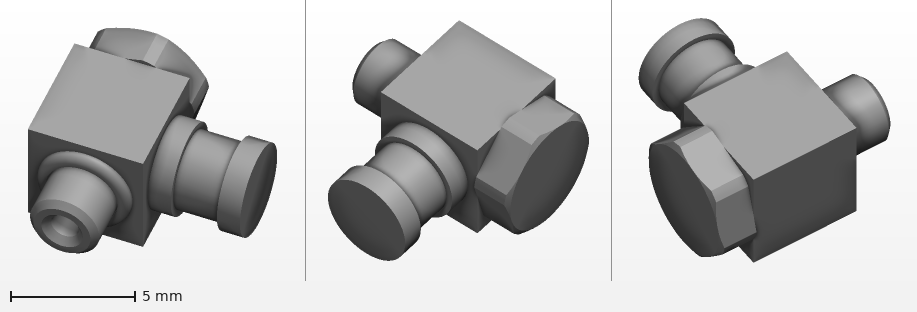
import cadquery as cq
import math

BODY_SIZE = 5.0
HALF_BODY = BODY_SIZE / 2

HEX_FLATS = 5.0
HEX_CORNER_DIAMETER = 5.5
HEX_LENGTH = 1.7
HEX_TILT = 15.0
HEX_CHAMFER_ANGLE = 30.0

STUD_DIAMETER = 3.0
STUD_LENGTH = 2.5
STUD_CHAMFER = 0.27

RING_HEIGHT = 0.4
LAND_RADIUS = 1.65
RING_BORE_RADIUS = 1.55

BORE_DIAMETER = 1.2
COUNTERSINK_DIAMETER = 1.8
COUNTERSINK_DEPTH = 0.3
BORE_DEPTH = STUD_LENGTH + HALF_BODY
DRILL_POINT_ANGLE = 118.0

COLLAR_DIAMETER = 4.0
COLLAR_LENGTH = 1.0
NECK_DIAMETER = 3.4
NECK_LENGTH = 2.0


def revolve_about_y(profile):
    """Turn a closed profile in the XY plane a full circle about the Y axis."""
    return profile.close().revolve(360, (0, 0, 0), (0, 1, 0))


def make_body():
    return cq.Workplane("XY").box(BODY_SIZE, BODY_SIZE, BODY_SIZE)


def make_hex_head():
    """Hexagon whose corners are turned down and whose free end is coned."""
    end_y = HALF_BODY + HEX_LENGTH
    corner_radius = HEX_CORNER_DIAMETER / 2
    end_radius = HEX_FLATS / 2
    cone_height = (corner_radius - end_radius) * math.tan(math.radians(HEX_CHAMFER_ANGLE))
    hexagon = (
        cq.Workplane("XZ", origin=(0, end_y, 0))
        .polygon(6, HEX_FLATS, circumscribed=True)
        .extrude(HEX_LENGTH)
        .rotate((0, 0, 0), (0, 1, 0), HEX_TILT)
    )
    turned_envelope = revolve_about_y(
        cq.Workplane("XY")
        .moveTo(0, HALF_BODY)
        .lineTo(corner_radius, HALF_BODY)
        .lineTo(corner_radius, end_y - cone_height)
        .lineTo(end_radius, end_y)
        .lineTo(0, end_y)
    )
    return hexagon.intersect(turned_envelope)


def make_stud():
    return (
        cq.Workplane("XZ", origin=(0, -HALF_BODY, 0))
        .circle(STUD_DIAMETER / 2)
        .extrude(STUD_LENGTH)
        .faces("<Y")
        .chamfer(STUD_CHAMFER)
    )


def make_sealing_ring():
    """Ring with a quarter-round outside, a flat narrow land and a straight bore."""
    outer_radius = LAND_RADIUS + RING_HEIGHT
    crest_y = -HALF_BODY - RING_HEIGHT
    arc_middle_offset = RING_HEIGHT * math.sqrt(0.5)
    return revolve_about_y(
        cq.Workplane("XY")
        .moveTo(RING_BORE_RADIUS, -HALF_BODY)
        .lineTo(outer_radius, -HALF_BODY)
        .threePointArc(
            (LAND_RADIUS + arc_middle_offset, -HALF_BODY - arc_middle_offset),
            (LAND_RADIUS, crest_y),
        )
        .lineTo(RING_BORE_RADIUS, crest_y)
    )


def make_bore():
    """Cutter: countersink, straight bore and conical drill point."""
    mouth_y = -HALF_BODY - STUD_LENGTH
    floor_y = mouth_y + BORE_DEPTH
    bore_radius = BORE_DIAMETER / 2
    point_height = bore_radius / math.tan(math.radians(DRILL_POINT_ANGLE / 2))
    return revolve_about_y(
        cq.Workplane("XY")
        .moveTo(0, mouth_y)
        .lineTo(COUNTERSINK_DIAMETER / 2, mouth_y)
        .lineTo(bore_radius, mouth_y + COUNTERSINK_DEPTH)
        .lineTo(bore_radius, floor_y)
        .lineTo(0, floor_y + point_height)
    )


def make_spigot_section(start_x, diameter, length):
    return cq.Workplane("YZ", origin=(start_x, 0, 0)).circle(diameter / 2).extrude(length)


def make_spigot():
    """Two equal collars with a narrower neck between them."""
    neck_x = HALF_BODY + COLLAR_LENGTH
    outer_collar_x = neck_x + NECK_LENGTH
    inner_collar = make_spigot_section(HALF_BODY, COLLAR_DIAMETER, COLLAR_LENGTH)
    neck = make_spigot_section(neck_x, NECK_DIAMETER, NECK_LENGTH)
    outer_collar = make_spigot_section(outer_collar_x, COLLAR_DIAMETER, COLLAR_LENGTH)
    return inner_collar.union(neck).union(outer_collar)


result = (
    make_body()
    .union(make_hex_head())
    .union(make_stud())
    .union(make_sealing_ring())
    .union(make_spigot())
    .cut(make_bore())
)